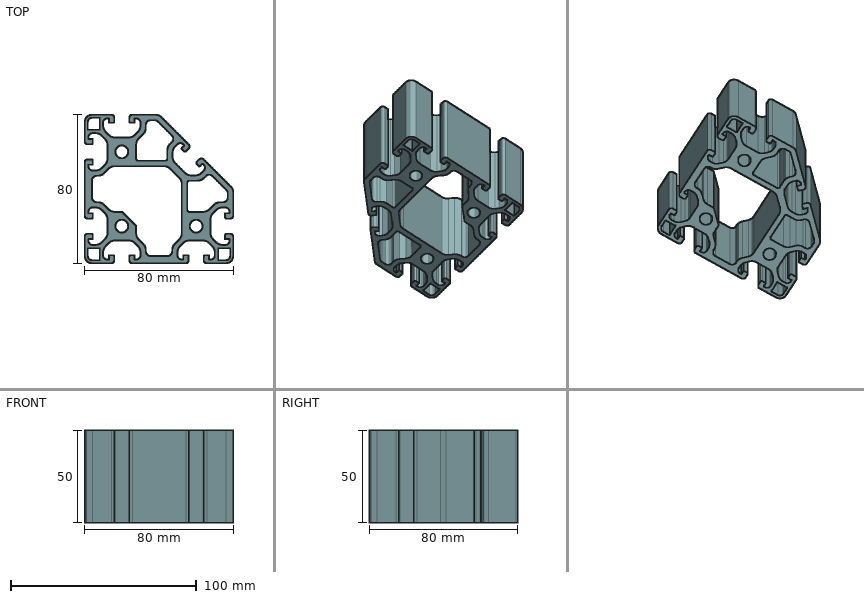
import cadquery as cq
import math


SIDE = 80.0
LENGTH = 50.0
CUT_LEG = SIDE / 2
OUTER_RADIUS = 4.0

PITCH = 20.0
OPENING_HALF = 4.0
HOOK_HALF = 7.0
SLOT_HALF = 10.0
LIP_DEPTH = 4.5
RECESS_DEPTH = 2.1
SLOT_DEPTH = 12.2
SLOT_CHAMFER = 4.4
MOUTH_RADIUS = 1.6
LIP_RADIUS = 0.8
RECESS_RADIUS = 2.2
BEND_RADIUS = 4.8

SLOT_WALL = 3.0
SIDE_WALL = 4.0
POCKET_WALL = 3.0
WEB = 3.0
CHAMBER_CHAMFER = 7.6
CHAMBER_RADIUS = 2.5
POCKET_CORNER_RADIUS = 1.0
CORE_CHAMFER = 7.5
BORE_DIAMETER = 6.8
CORNER_HOLE_NEAR = 1.8
CORNER_HOLE_FAR = 8.1

CORE_HALF = PITCH - SLOT_DEPTH
CORE_EDGE = PITCH + CORE_HALF
WALL_HALF = SLOT_HALF + SLOT_WALL
WALL_SUM = SLOT_HALF + SLOT_DEPTH - SLOT_CHAMFER + SLOT_WALL * math.sqrt(2)
BEND_AT_CORE = WALL_SUM - CORE_HALF
BEND_AT_SIDE = WALL_SUM - WALL_HALF


def unit(start, end):
    span = math.dist(start, end)
    return (end[0] - start[0]) / span, (end[1] - start[1]) / span


def prism(corners):
    """Extrude a closed polygon of (x, y, radius) corners; radius 0 is sharp."""
    path = []
    for i, (x, y, radius) in enumerate(corners):
        if radius == 0:
            path.append([(x, y)])
            continue
        back = unit((x, y), corners[i - 1][:2])
        ahead = unit((x, y), corners[(i + 1) % len(corners)][:2])
        half_angle = math.acos(back[0] * ahead[0] + back[1] * ahead[1]) / 2
        tangent = radius / math.tan(half_angle)
        to_arc = radius / math.sin(half_angle) - radius
        middle = unit((0, 0), (back[0] + ahead[0], back[1] + ahead[1]))
        path.append([
            (x + tangent * back[0], y + tangent * back[1]),
            (x + to_arc * middle[0], y + to_arc * middle[1]),
            (x + tangent * ahead[0], y + tangent * ahead[1]),
        ])
    wire = cq.Workplane("XY").moveTo(*path[0][-1])
    for points in path[1:] + path[:1]:
        wire = wire.lineTo(*points[0])
        if len(points) == 3:
            wire = wire.threePointArc(*points[1:])
    return wire.close().extrude(LENGTH)


def swap_xy(corners):
    """Mirror corners about the line X = Y, keeping the outline connected."""
    return [(y, x, radius) for x, y, radius in reversed(corners)]


def body():
    return prism([
        (0, 0, OUTER_RADIUS),
        (SIDE, 0, OUTER_RADIUS),
        (SIDE, SIDE - CUT_LEG, OUTER_RADIUS),
        (SIDE - CUT_LEG, SIDE, OUTER_RADIUS),
        (0, SIDE, OUTER_RADIUS),
    ])


def slot():
    """T-slot entering along +Y from a face at Y = 0, centred on X = 0."""
    mouth_half = OPENING_HALF + 2 * MOUTH_RADIUS
    half = [
        (mouth_half, -MOUTH_RADIUS, 0),
        (mouth_half, 0, 0),
        (OPENING_HALF, 0, MOUTH_RADIUS),
        (OPENING_HALF, LIP_DEPTH, LIP_RADIUS),
        (HOOK_HALF, LIP_DEPTH, 0),
        (HOOK_HALF, RECESS_DEPTH, 0),
        (SLOT_HALF, RECESS_DEPTH, RECESS_RADIUS),
        (SLOT_HALF, SLOT_DEPTH - SLOT_CHAMFER, BEND_RADIUS),
        (SLOT_HALF - SLOT_CHAMFER, SLOT_DEPTH, BEND_RADIUS),
    ]
    return prism(half + [(-x, y, radius) for x, y, radius in reversed(half)])


def central_chamber():
    half = [
        (CORE_EDGE - CORE_CHAMFER, CORE_EDGE, 0),
        (BEND_AT_CORE, CORE_EDGE, BEND_RADIUS),
        (BEND_AT_SIDE, PITCH + WALL_HALF, BEND_RADIUS),
        (SIDE_WALL, PITCH + WALL_HALF, CHAMBER_RADIUS),
        (SIDE_WALL, SIDE - PITCH - WALL_HALF, CHAMBER_RADIUS),
        (BEND_AT_SIDE, SIDE - PITCH - WALL_HALF, BEND_RADIUS),
        (BEND_AT_CORE, SIDE - CORE_EDGE, BEND_RADIUS),
        (SIDE - CORE_EDGE - CHAMBER_CHAMFER, SIDE - CORE_EDGE, BEND_RADIUS),
    ]
    return prism(half + swap_xy(half))


def pocket_corners():
    """Pocket between the top slot and the slot in the 45 degree face."""
    bottom = SIDE - CORE_EDGE + WEB
    top = SIDE - POCKET_WALL
    left = PITCH + WALL_HALF
    right = SIDE - CUT_LEG / 2 - WALL_SUM / math.sqrt(2)
    flank = WALL_HALF * math.sqrt(2)
    face = 2 * SIDE - CUT_LEG - POCKET_WALL * math.sqrt(2)
    return [
        (CORE_EDGE, bottom, POCKET_CORNER_RADIUS),
        (right, bottom, POCKET_CORNER_RADIUS),
        (right, right + flank, BEND_RADIUS),
        ((face - flank) / 2, (face + flank) / 2, CHAMBER_RADIUS),
        (face - top, top, CHAMBER_RADIUS),
        (left, top, CHAMBER_RADIUS),
        (left, SIDE - BEND_AT_SIDE, BEND_RADIUS),
        (CORE_EDGE, SIDE - BEND_AT_CORE, BEND_RADIUS),
    ]


def corner_hollow():
    """Square hollow of the corner at the origin."""
    return prism([
        (CORNER_HOLE_NEAR, CORNER_HOLE_NEAR, OUTER_RADIUS - CORNER_HOLE_NEAR),
        (CORNER_HOLE_FAR, CORNER_HOLE_NEAR, 0),
        (CORNER_HOLE_FAR, CORNER_HOLE_FAR, 0),
        (CORNER_HOLE_NEAR, CORNER_HOLE_FAR, 0),
    ])


def placed(shape, x, y, turn):
    return shape.rotate((0, 0, 0), (0, 0, 1), turn).translate((x, y, 0))


FAR_PITCH = SIDE - PITCH
FACE_MIDDLE = SIDE - CUT_LEG / 2

SLOT_PLACES = [
    (PITCH, 0, 0),
    (FAR_PITCH, 0, 0),
    (0, PITCH, -90),
    (0, FAR_PITCH, -90),
    (PITCH, SIDE, 180),
    (SIDE, PITCH, 90),
    (FACE_MIDDLE, FACE_MIDDLE, 135),
]
CORNER_PLACES = [(0, 0, 0), (SIDE, 0, 90), (0, SIDE, -90)]
BORE_CENTRES = [(PITCH, PITCH), (FAR_PITCH, PITCH), (PITCH, FAR_PITCH)]

result = body().cut(central_chamber())
for corners in (pocket_corners(), swap_xy(pocket_corners())):
    result = result.cut(prism(corners))
for place in SLOT_PLACES:
    result = result.cut(placed(slot(), *place))
for place in CORNER_PLACES:
    result = result.cut(placed(corner_hollow(), *place))
bores = cq.Workplane("XY").pushPoints(BORE_CENTRES).circle(BORE_DIAMETER / 2).extrude(LENGTH)
result = result.cut(bores)